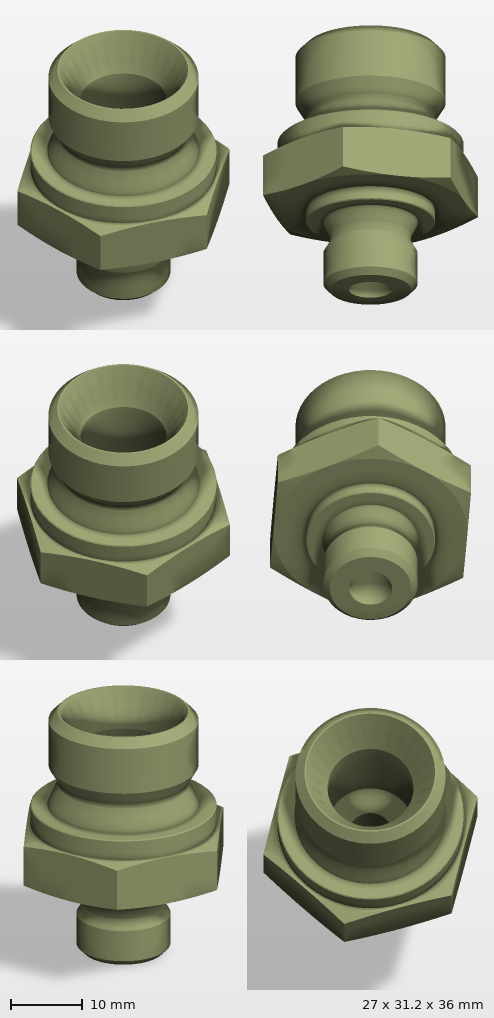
import cadquery as cq
import math

length = 36.0

hex_flats = 27.0
hex_bottom = 12.0
hex_top = 19.0
hex_chamfer_angle = 15.0

large_radius = 20.95 / 2
large_rim_radius = 9.2
large_chamfer_height = 1.25
large_thread_bottom = 27.97
large_neck_radius = 9.1
large_neck_edge_radius = 9.3
large_neck_top = 26.03
large_neck_bottom = 25.02
large_root_radius = 10.62

small_radius = 13.15 / 2
small_rim_radius = 5.7
small_chamfer_height = 0.9
small_thread_top = 5.47
small_neck_radius = 5.6
small_neck_edge_radius = 5.72
small_neck_bottom = 6.95
small_neck_top = 8.1
small_root_radius = 6.7

large_collar_radius = 26.0 / 2
large_collar_top = 21.95
small_collar_radius = 18.0 / 2
small_collar_bottom = 10.08
collar_chamfer = 0.15

mouth_radius = 18.0 / 2
bore_radius = 12.0 / 2
passage_radius = 6.0 / 2
mouth_half_angle = 30.0
bore_bottom = 18.0
drill_half_angle = 59.0


def cone_height(outer_radius, inner_radius, half_angle):
    return (outer_radius - inner_radius) / math.tan(math.radians(half_angle))


def make_turned_body():
    """Threads, rounded necks and collars as one revolved outline."""
    return (
        cq.Workplane("XZ")
        .moveTo(0, 0)
        .lineTo(small_rim_radius, 0)
        .lineTo(small_radius, small_chamfer_height)
        .lineTo(small_radius, small_thread_top)
        .lineTo(small_neck_edge_radius, small_neck_bottom)
        .threePointArc(
            (small_neck_radius, (small_neck_bottom + small_neck_top) / 2),
            (small_neck_edge_radius, small_neck_top),
        )
        .lineTo(small_root_radius, small_collar_bottom)
        .lineTo(small_collar_radius - collar_chamfer, small_collar_bottom)
        .lineTo(small_collar_radius, small_collar_bottom + collar_chamfer)
        .lineTo(small_collar_radius, hex_bottom)
        .lineTo(large_collar_radius, hex_bottom)
        .lineTo(large_collar_radius, large_collar_top - collar_chamfer)
        .lineTo(large_collar_radius - collar_chamfer, large_collar_top)
        .lineTo(large_root_radius, large_collar_top)
        .lineTo(large_neck_edge_radius, large_neck_bottom)
        .threePointArc(
            (large_neck_radius, (large_neck_bottom + large_neck_top) / 2),
            (large_neck_edge_radius, large_neck_top),
        )
        .lineTo(large_radius, large_thread_bottom)
        .lineTo(large_radius, length - large_chamfer_height)
        .lineTo(large_rim_radius, length)
        .lineTo(0, length)
        .close()
        .revolve(360, (0, 0, 0), (0, 1, 0))
    )


def make_hexagon():
    """Hexagon with corners on Y, its corners turned off conically at both ends."""
    corner_radius = hex_flats / math.sqrt(3)
    face_radius = hex_flats / 2
    drop = (corner_radius - face_radius) * math.tan(math.radians(hex_chamfer_angle))
    prism = (
        cq.Workplane("XY")
        .workplane(offset=hex_bottom)
        .polygon(6, 2 * corner_radius)
        .extrude(hex_top - hex_bottom)
        .rotate((0, 0, 0), (0, 0, 1), 30)
    )
    envelope = (
        cq.Workplane("XZ")
        .moveTo(0, hex_bottom)
        .lineTo(face_radius, hex_bottom)
        .lineTo(corner_radius, hex_bottom + drop)
        .lineTo(corner_radius, hex_top - drop)
        .lineTo(face_radius, hex_top)
        .lineTo(0, hex_top)
        .close()
        .revolve(360, (0, 0, 0), (0, 1, 0))
    )
    return prism.intersect(envelope)


def make_bore():
    """Conical mouth, drilled bore with a conical floor, and a through passage."""
    mouth_bottom = length - cone_height(mouth_radius, bore_radius, mouth_half_angle)
    floor_bottom = bore_bottom - cone_height(bore_radius, passage_radius, drill_half_angle)
    return (
        cq.Workplane("XZ")
        .moveTo(0, 0)
        .lineTo(passage_radius, 0)
        .lineTo(passage_radius, floor_bottom)
        .lineTo(bore_radius, bore_bottom)
        .lineTo(bore_radius, mouth_bottom)
        .lineTo(mouth_radius, length)
        .lineTo(0, length)
        .close()
        .revolve(360, (0, 0, 0), (0, 1, 0))
    )


result = make_turned_body().union(make_hexagon()).cut(make_bore())